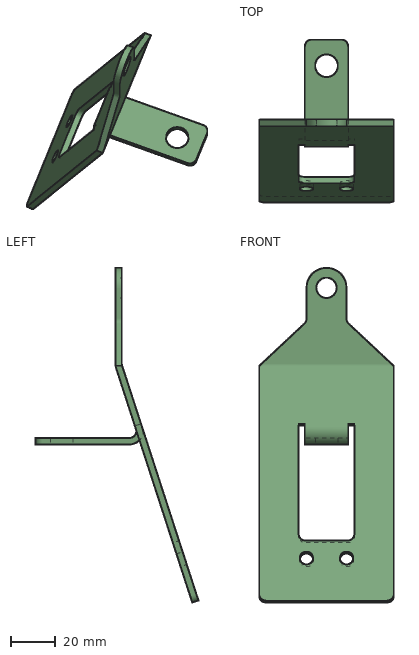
import cadquery as cq
import math

thickness = 3.0
inner_bend = 3.0
outer_bend = inner_bend + thickness
corner_radius = 3.0
tilt = 18.0
sin_tilt = math.sin(math.radians(tilt))
cos_tilt = math.cos(math.radians(tilt))

width = 60.0
depth = 72.6
height = 149.0

bend_top = 106.3
lug_width = 17.9
eye_height = height - lug_width / 2
lug_hole = 9.0
neck_height = 125.0
neck_fillet = 3.0

plate_length = (bend_top - outer_bend * sin_tilt) / cos_tilt
window_width = 24.7
window_start = 27.0
window_end = 81.7
screw_hole = 6.0
screw_spacing = 17.9
screw_distance = 89.9

tab_width = 19.4
tab_bend_start = 28.6
tab_hole = 10.0
tab_hole_inset = 11.6

bend_end = (inner_bend * (cos_tilt - 1), bend_top - inner_bend * sin_tilt)
plate_plane = cq.Plane(
    origin=(0, *bend_end),
    xDir=(1, 0, 0),
    normal=(0, -cos_tilt, sin_tilt),
)


def on_plate(distance, inward=0.0):
    """(Y, Z) of a point down the plate, set inward from its front face."""
    return (
        bend_end[0] - distance * sin_tilt + inward * cos_tilt,
        bend_end[1] - distance * cos_tilt - inward * sin_tilt,
    )


def from_center(center, radius, angle):
    """(Y, Z) of a point on a circle, with the angle in degrees from +Y."""
    return (
        center[0] + radius * math.cos(math.radians(angle)),
        center[1] + radius * math.sin(math.radians(angle)),
    )


def extrude_section(section, section_width):
    return section.close().extrude(section_width / 2, both=True)


def bent_sheet():
    center = (-inner_bend, bend_top)
    section = (
        cq.Workplane("YZ")
        .moveTo(0, height)
        .lineTo(0, bend_top)
        .threePointArc(from_center(center, inner_bend, -tilt / 2), on_plate(0))
        .lineTo(*on_plate(plate_length))
        .lineTo(*on_plate(plate_length, thickness))
        .lineTo(*on_plate(0, thickness))
        .threePointArc(from_center(center, outer_bend, -tilt / 2), (thickness, bend_top))
        .lineTo(thickness, height)
    )
    sheet = extrude_section(section, width)
    corners = sheet.edges(cq.selectors.ParallelDirSelector(plate_plane.zDir))
    bottom_corners = corners.edges(cq.selectors.BoxSelector(
        (-width, -depth, -thickness),
        (width, depth, 2 * thickness),
    ))
    return bottom_corners.fillet(corner_radius)


def lug_side_waste(side):
    """Material beside the lug and above its sloping shoulder."""
    waste = (
        cq.Workplane("XZ", origin=(0, thickness, 0))
        .moveTo(side * lug_width / 2, height)
        .lineTo(side * lug_width / 2, neck_height)
        .lineTo(side * width / 2, bend_end[1])
        .lineTo(side * width / 2, height)
        .close()
        .extrude(outer_bend)
    )
    neck_corner = cq.selectors.NearestToPointSelector((side * lug_width / 2, 0, neck_height))
    return waste.edges("|Y").edges(neck_corner).fillet(neck_fillet)


def lug_end_waste():
    """Material outside the half circle that ends the lug."""
    lug_radius = lug_width / 2
    end_block = (
        cq.Workplane("XZ", origin=(0, thickness, height - lug_radius / 2))
        .rect(lug_width, lug_radius)
        .extrude(thickness)
    )
    round_end = (
        cq.Workplane("XZ", origin=(0, thickness, eye_height))
        .circle(lug_radius)
        .extrude(thickness)
    )
    return end_block.cut(round_end)


def lug_hole_cutter():
    return (
        cq.Workplane("XZ", origin=(0, thickness, eye_height))
        .circle(lug_hole / 2)
        .extrude(thickness)
    )


def window_cutter():
    window_length = window_end - window_start
    window = (
        cq.Workplane(plate_plane)
        .center(0, -(window_start + window_end) / 2)
        .rect(window_width, window_length)
        .extrude(-thickness)
    )
    bottom_face = window.faces(cq.selectors.DirectionMinMaxSelector(plate_plane.yDir, False))
    bottom_corners = bottom_face.edges("not |X")
    return bottom_corners.fillet(corner_radius)


def screw_hole_cutter():
    return (
        cq.Workplane(plate_plane)
        .center(0, -screw_distance)
        .rarray(screw_spacing, 1.5, 2, 1)
        .circle(screw_hole / 2)
        .extrude(-thickness)
    )


def rear_tab():
    center = on_plate(tab_bend_start, outer_bend)
    tab_bottom = center[1] - outer_bend
    tab_top = tab_bottom + thickness
    tab_end = depth + on_plate(plate_length)[0]
    mid_angle = (180 - tilt + 270) / 2
    section = (
        cq.Workplane("YZ")
        .moveTo(*on_plate(window_start))
        .lineTo(*on_plate(tab_bend_start))
        .threePointArc(from_center(center, outer_bend, mid_angle), (center[0], tab_bottom))
        .lineTo(tab_end, tab_bottom)
        .lineTo(tab_end, tab_top)
        .lineTo(center[0], tab_top)
        .threePointArc(
            from_center(center, inner_bend, mid_angle),
            on_plate(tab_bend_start, thickness),
        )
        .lineTo(*on_plate(window_start, thickness))
    )
    tab = extrude_section(section, tab_width)
    tab = tab.faces(">Y").edges("|Z").fillet(corner_radius)
    hole = (
        cq.Workplane("XY", origin=(0, tab_end - tab_hole_inset, tab_bottom))
        .circle(tab_hole / 2)
        .extrude(thickness)
    )
    return tab.cut(hole)


result = bent_sheet()
for side in (-1, 1):
    result = result.cut(lug_side_waste(side))

result = result.cut(lug_end_waste()).cut(lug_hole_cutter())
result = result.cut(window_cutter()).cut(screw_hole_cutter())
result = result.union(rear_tab())